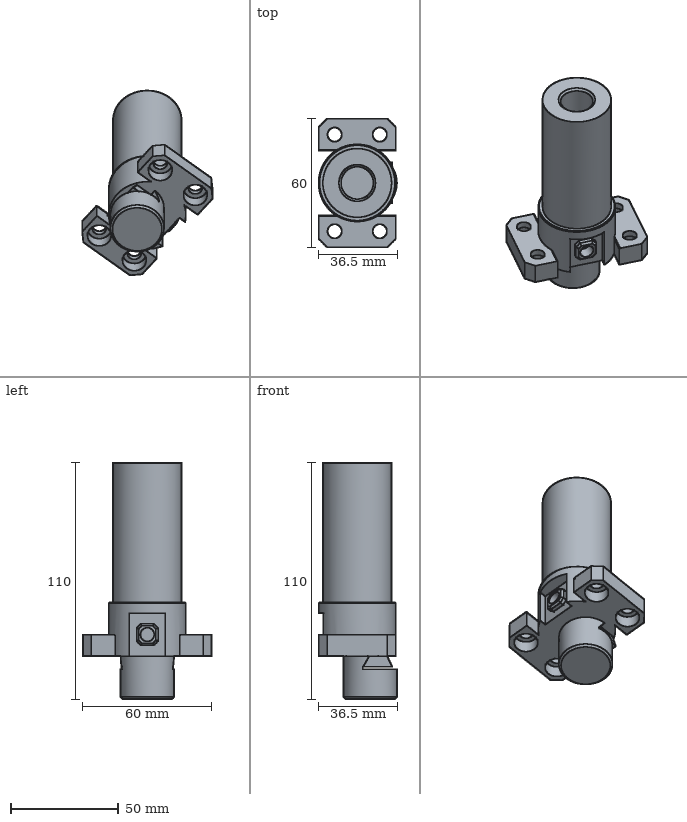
import cadquery as cq
import math

total_height = 110.0
post_height = 20.0
ear_thickness = 10.0
housing_top = 45.0

housing_diameter = 36.0
housing_height = housing_top - post_height
housing_chamfer = 0.4
ear_span = 60.0
ear_gap = 30.0
ear_chamfer = 4.0
ear_inner_chamfer = 0.4
ear_hole_diameter = 6.5
ear_counterbore_diameter = 11.0
ear_counterbore_depth = 6.8
ear_hole_spacing_x = 21.0
ear_hole_spacing_y = 45.0

pocket_width = 16.7
pocket_floor_x = -12.5
pocket_height = 20.0

dovetail_length = 19.1
dovetail_bottom_z = 15.0
dovetail_top_left_x = 5.6
dovetail_top_right_x = 14.0
dovetail_bottom_right_x = 16.4
dovetail_angle = 60.0
dovetail_height = post_height - dovetail_bottom_z
dovetail_slope = 1 / math.tan(math.radians(dovetail_angle))
dovetail_bottom_left_x = dovetail_top_left_x - dovetail_height * dovetail_slope

tube_diameter = 32.0
tube_height = total_height - housing_top
bore_diameter = 15.1
bore_chamfer = 1.0

post_diameter = 25.0
post_offset_x = 6.0
post_chamfer = 1.0
notch_floor_z = 14.0

bushing_width = 10.0
bushing_corner = 2.0
bushing_bevel = 1.0
bushing_length = 2.9
bushing_bore = 6.4
bushing_seat_depth = 2.9
bushing_center_z = post_height + ear_thickness


def box_between(x_min, x_max, width_y, z_min, z_max):
    """Box centred on the XZ plane between the given X and Z limits."""
    size_x = x_max - x_min
    size_z = z_max - z_min
    box = cq.Workplane("XY").box(size_x, width_y, size_z, centered=(False, True, False))
    return box.translate((x_min, 0, z_min))


def make_ears():
    """Chamfered mounting plate split into two ears by a gap that flares at its top edges.

    The four holes are counterbored from below.
    """
    plate = (
        cq.Workplane("XY", origin=(0, 0, post_height))
        .rect(housing_diameter, ear_span)
        .extrude(ear_thickness)
        .edges("|Z")
        .chamfer(ear_chamfer)
        .faces("<Z")
        .workplane()
        .rect(ear_hole_spacing_x, ear_hole_spacing_y, forConstruction=True)
        .vertices()
        .cboreHole(ear_hole_diameter, ear_counterbore_diameter, ear_counterbore_depth)
    )
    ear_top = post_height + ear_thickness
    gap = (
        cq.Workplane("YZ")
        .polyline([
            (-ear_gap / 2, post_height),
            (ear_gap / 2, post_height),
            (ear_gap / 2, ear_top - ear_inner_chamfer),
            (ear_gap / 2 + ear_inner_chamfer, ear_top),
            (-ear_gap / 2 - ear_inner_chamfer, ear_top),
            (-ear_gap / 2, ear_top - ear_inner_chamfer),
        ])
        .close()
        .extrude(housing_diameter, both=True)
    )
    return plate.cut(gap)


def make_dovetail():
    """Rail that widens downward from the underside of the housing."""
    return (
        cq.Workplane("XZ")
        .polyline([
            (dovetail_top_left_x, post_height),
            (dovetail_top_right_x, post_height),
            (dovetail_bottom_right_x, dovetail_bottom_z),
            (dovetail_bottom_left_x, dovetail_bottom_z),
        ])
        .close()
        .extrude(dovetail_length / 2, both=True)
    )


def make_bushing_blank():
    """Undrilled bushing: a block with cut corners and a bevelled -X end."""
    block = box_between(
        pocket_floor_x - bushing_length,
        pocket_floor_x + bushing_seat_depth,
        bushing_width,
        bushing_center_z - bushing_width / 2,
        bushing_center_z + bushing_width / 2,
    )
    return block.edges("|X").chamfer(bushing_corner).faces("<X").chamfer(bushing_bevel)


def make_housing():
    """Round housing with ears, dovetail rail, side pocket and a seat for the bushing."""
    body = (
        cq.Workplane("XY", origin=(0, 0, post_height))
        .circle(housing_diameter / 2)
        .extrude(housing_height)
        .faces(">Z")
        .chamfer(housing_chamfer)
    )
    pocket = box_between(
        -housing_diameter, pocket_floor_x, pocket_width, post_height, post_height + pocket_height
    )
    solid = body.union(make_ears()).union(make_dovetail())
    return solid.cut(pocket).cut(make_bushing_blank())


def make_tube():
    """Plain tube with a chamfer at the top of its bore."""
    return (
        cq.Workplane("XY", origin=(0, 0, housing_top))
        .circle(tube_diameter / 2)
        .circle(bore_diameter / 2)
        .extrude(tube_height)
        .faces(">Z")
        .edges("%CIRCLE")
        .edges(cq.selectors.RadiusNthSelector(0))
        .chamfer(bore_chamfer)
    )


def make_post():
    """Off-centre round post, notched from +X with an undercut that follows the dovetail."""
    post = (
        cq.Workplane("XY", origin=(post_offset_x, 0, 0))
        .circle(post_diameter / 2)
        .extrude(post_height)
        .faces("<Z")
        .chamfer(post_chamfer)
    )
    notch_end_x = post_offset_x + post_diameter
    notch = (
        cq.Workplane("XZ")
        .polyline([
            (dovetail_top_left_x, post_height),
            (dovetail_bottom_left_x, dovetail_bottom_z),
            (dovetail_bottom_left_x, notch_floor_z),
            (notch_end_x, notch_floor_z),
            (notch_end_x, post_height),
        ])
        .close()
        .extrude(post_diameter, both=True)
    )
    return post.cut(notch)


def make_bushing():
    """Port bushing pointing toward -X, with a bore along its whole length."""
    return (
        make_bushing_blank()
        .faces("<X")
        .workplane(centerOption="CenterOfBoundBox")
        .hole(bushing_bore)
    )


housing = make_housing()
tube = make_tube()
post = make_post()
bushing = make_bushing()

result = cq.Compound.makeCompound([housing.val(), tube.val(), post.val(), bushing.val()])